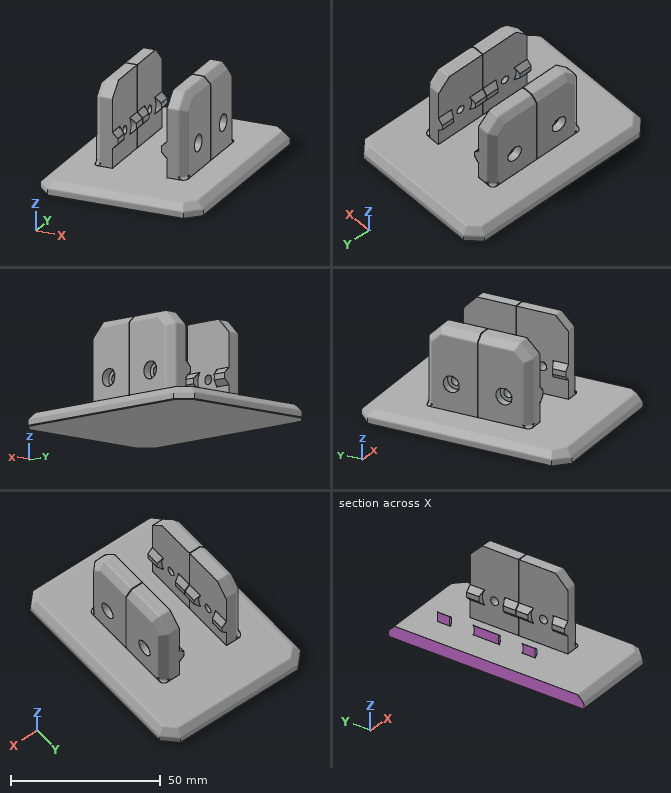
import cadquery as cq
import math

base_length = 60.0
base_width = 80.0
base_thickness = 5.0

jaw_gap = 20.0
jaw_thickness = 7.0
jaw_width = 40.0
jaw_height = 30.0
jaw_pair_offset = -0.3

corner_cut = 5.0
bevel = 2.5
edge_radius = 1.0
bottom_bevel = 0.3

ridge_depth = 2.0
ridge_root_height = 6.0
ridge_tip_height = 2.0
ridge_clearance_diameter = 10.0

hole_spacing = 20.0
hole_height = base_thickness + 10.0
hole_diameter = 3.2
counterbore_diameter = 6.0
counterbore_depth = 3.0

slit_width = 0.2

jaw_inner = jaw_gap / 2
jaw_outer = jaw_inner + jaw_thickness
jaw_top = base_thickness + jaw_height

tolerance = 0.01

foot_corner_radius = (bevel / math.sqrt(2) - edge_radius) / (math.sqrt(2) - 1)


def make_base():
    """Plate with cut corners and a softened bevel around its top and a small bevel around its underside."""
    plate = cq.Workplane("XY").box(base_length, base_width, base_thickness, centered=(True, True, False))
    plate = plate.edges("|Z").chamfer(corner_cut)
    plate = plate.faces(">Z").edges().chamfer(bevel)
    bevel_edges = plate.edges(cq.selectors.BoxSelector(
        (-base_length, -base_width, base_thickness - bevel - tolerance),
        (base_length, base_width, base_thickness + tolerance),
    ))
    plate = bevel_edges.fillet(edge_radius)
    return plate.faces("<Z").edges().chamfer(bottom_bevel)


def make_jaw():
    """Plain upright at +X with cut top corners and a softened bevel around its outer face."""
    jaw = (
        cq.Workplane("XY", origin=(jaw_inner, 0, base_thickness))
        .box(jaw_thickness, jaw_width, jaw_height, centered=(False, True, False))
        .edges("|X and >Z")
        .chamfer(corner_cut)
    )
    jaw = jaw.faces(">X").edges("not <Z").chamfer(bevel)
    softened = jaw.edges(cq.selectors.BoxSelector(
        (jaw_inner + tolerance, -jaw_width, base_thickness + tolerance),
        (jaw_outer + tolerance, jaw_width, jaw_top + tolerance),
    ))
    return softened.fillet(edge_radius)


def make_jaw_feet():
    """Low corner feet that blend the two upright bevels into the base with a hollow fillet."""
    feet = (
        cq.Workplane("XY", origin=(jaw_inner, 0, base_thickness))
        .box(jaw_thickness, jaw_width, edge_radius, centered=(False, True, False))
        .edges("|Z and >X")
        .fillet(foot_corner_radius)
    )
    inset = bevel / 2 - edge_radius / math.sqrt(2)
    axis_height = base_thickness + edge_radius
    for side in (-1, 1):
        axis = cq.Vector(1, -side, 0)
        center = cq.Vector(jaw_outer - inset, side * (jaw_width / 2 - inset), axis_height)
        start = center - axis * bevel
        hollow = cq.Solid.makeCylinder(edge_radius, 2 * axis.Length * bevel, start, axis)
        feet = feet.cut(cq.Workplane(hollow))
    return feet


def make_ridge():
    """Tapered ridge along the inner face of the +X jaw, interrupted around the bolt holes."""
    ridge = (
        cq.Workplane("XZ", origin=(jaw_inner, jaw_width / 2, hole_height))
        .moveTo(0, -ridge_root_height / 2)
        .lineTo(-ridge_depth, -ridge_tip_height / 2)
        .lineTo(-ridge_depth, ridge_tip_height / 2)
        .lineTo(0, ridge_root_height / 2)
        .close()
        .extrude(jaw_width)
    )
    return ridge.cut(hole_cylinders(ridge_clearance_diameter, jaw_inner - ridge_depth, jaw_inner))


def hole_cylinders(diameter, x_start, x_end):
    """Cylinders along X on both bolt axes."""
    return (
        cq.Workplane("YZ", origin=(x_start, 0, hole_height))
        .pushPoints([(-hole_spacing / 2, 0), (hole_spacing / 2, 0)])
        .circle(diameter / 2)
        .extrude(x_end - x_start)
    )


def make_jaw_cuts():
    """Bolt holes, counterbores and centre slit of the +X jaw."""
    ridge_tip = jaw_inner - ridge_depth
    slit = cq.Workplane("XY", origin=(ridge_tip, 0, base_thickness)).box(
        jaw_outer - ridge_tip, slit_width, jaw_height, centered=(False, True, False)
    )
    holes = hole_cylinders(hole_diameter, jaw_inner, jaw_outer)
    counterbores = hole_cylinders(counterbore_diameter, jaw_outer - counterbore_depth, jaw_outer)
    return slit.union(holes).union(counterbores)


def both_sides(body):
    """The +X body and its mirror image, each moved to the place of its jaw."""
    shift = (jaw_pair_offset, 0, 0)
    return [body.translate(shift), body.mirror("YZ").translate(shift)]


result = make_base()
for solid in both_sides(make_jaw().union(make_jaw_feet()).union(make_ridge())):
    result = result.union(solid)
for solid in both_sides(make_jaw_cuts()):
    result = result.cut(solid)